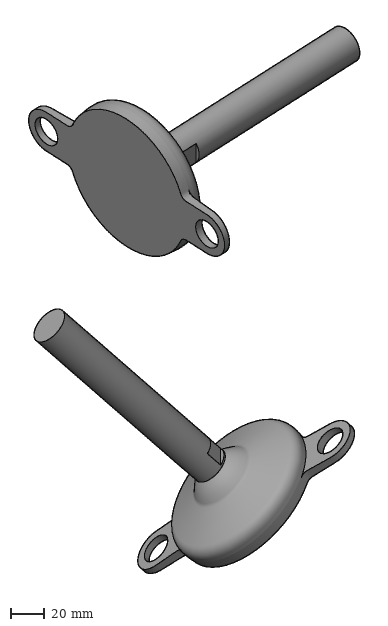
import cadquery as cq
import math


foot_radius = 50.0
foot_base_radius = 49.3
taper_height = 6.5
rim_height = 9.4
shoulder_radius = 7.0
cone_angle = math.radians(20)
dome_radius = 26.0
dome_centre_height = 10.0
dome_fillet_radius = 5.0

overall_height = 185.0
stem_start = 35.7
stem_radius = 12.0
neck_radius = 7.8
flat_start = 37.0
flat_end = 49.3
width_across_flats = 19.0

lug_centre_x = 68.0
lug_radius = 15.0
lug_hole_diameter = 19.0
lug_tip_thickness = 4.2
lug_slope = math.radians(3)
lug_fillet_radius = 5.0


def build_foot():
    """Revolved foot: tapered rim, rounded shoulder, cone and dome."""
    sin_cone = math.sin(cone_angle)
    cos_cone = math.cos(cone_angle)
    shoulder_centre_x = foot_radius - shoulder_radius

    def shoulder_point(angle):
        return (
            shoulder_centre_x + shoulder_radius * math.cos(angle),
            rim_height + shoulder_radius * math.sin(angle),
        )

    shoulder_end_angle = math.pi / 2 - cone_angle
    shoulder_end = shoulder_point(shoulder_end_angle)

    centre_distance = dome_radius + dome_fillet_radius
    normal_offset = (
        shoulder_end[0] * sin_cone
        + (shoulder_end[1] - dome_centre_height) * cos_cone
        + dome_fillet_radius
    )
    along_offset = math.sqrt(centre_distance**2 - normal_offset**2)
    blend_x = normal_offset * sin_cone + along_offset * cos_cone
    blend_y = dome_centre_height + normal_offset * cos_cone - along_offset * sin_cone

    dome_end_angle = math.atan2(blend_y - dome_centre_height, blend_x)

    def blend_point(angle):
        return (
            blend_x + dome_fillet_radius * math.cos(angle),
            blend_y + dome_fillet_radius * math.sin(angle),
        )

    blend_start_angle = -math.pi / 2 - cone_angle
    blend_end_angle = dome_end_angle - math.pi

    def dome_point(angle):
        return (
            dome_radius * math.cos(angle),
            dome_centre_height + dome_radius * math.sin(angle),
        )

    dome_top_angle = math.acos(neck_radius / dome_radius)

    profile = (
        cq.Workplane("XY")
        .lineTo(foot_base_radius, 0)
        .lineTo(foot_radius, taper_height)
        .lineTo(foot_radius, rim_height)
        .threePointArc(shoulder_point(shoulder_end_angle / 2), shoulder_end)
        .lineTo(*blend_point(blend_start_angle))
        .threePointArc(
            blend_point((blend_start_angle + blend_end_angle) / 2),
            blend_point(blend_end_angle),
        )
        .threePointArc(
            dome_point((dome_end_angle + dome_top_angle) / 2),
            dome_point(dome_top_angle),
        )
        .lineTo(neck_radius, stem_start)
        .lineTo(0, stem_start)
        .close()
    )
    return profile.revolve(360, (0, 0, 0), (0, 1, 0))


def build_stem():
    """Cylindrical stem with two wrench flats facing -X and +X."""
    stem = (
        cq.Workplane("XZ", origin=(0, stem_start, 0))
        .circle(stem_radius)
        .extrude(-(overall_height - stem_start))
    )
    flat_depth = stem_radius - width_across_flats / 2
    for side in (-1, 1):
        cutter = cq.Workplane("XY").box(flat_depth, flat_end - flat_start, 2 * stem_radius)
        cutter_x = side * (width_across_flats + flat_depth) / 2
        stem = stem.cut(cutter.translate((cutter_x, (flat_start + flat_end) / 2, 0)))
    return stem


def build_lugs():
    """Bar with round ends whose upper side falls away toward both tips."""
    tip_x = lug_centre_x + lug_radius
    ridge_height = lug_tip_thickness + tip_x * math.tan(lug_slope)
    side_shape = (
        cq.Workplane("XY")
        .polyline([
            (-tip_x, 0),
            (tip_x, 0),
            (tip_x, lug_tip_thickness),
            (0, ridge_height),
            (-tip_x, lug_tip_thickness),
        ])
        .close()
        .extrude(lug_radius, both=True)
    )
    outline = (
        cq.Workplane("XZ")
        .slot2D(2 * tip_x, 2 * lug_radius)
        .extrude(-ridge_height)
    )
    return outline.intersect(side_shape)


def fillet_lug_corners(body):
    """Round the four inside corners where the lug sides meet the foot rim."""
    corner_x = math.sqrt(foot_radius**2 - lug_radius**2)
    reach = foot_radius - foot_base_radius
    for side_x in (-1, 1):
        for side_z in (-1, 1):
            corners = cq.selectors.BoxSelector(
                (side_x * corner_x - 2 * reach, 0, side_z * lug_radius - reach),
                (side_x * corner_x + 2 * reach, taper_height, side_z * lug_radius + reach),
                boundingbox=True,
            )
            body = body.edges(corners).fillet(lug_fillet_radius)
    return body


def cut_lug_holes(body):
    """Through hole in each lug, concentric with its round end."""
    holes = (
        cq.Workplane("XZ")
        .pushPoints([(-lug_centre_x, 0), (lug_centre_x, 0)])
        .circle(lug_hole_diameter / 2)
        .extrude(-taper_height)
    )
    return body.cut(holes)


base = fillet_lug_corners(build_foot().union(build_lugs()))
result = cut_lug_holes(base).union(build_stem())